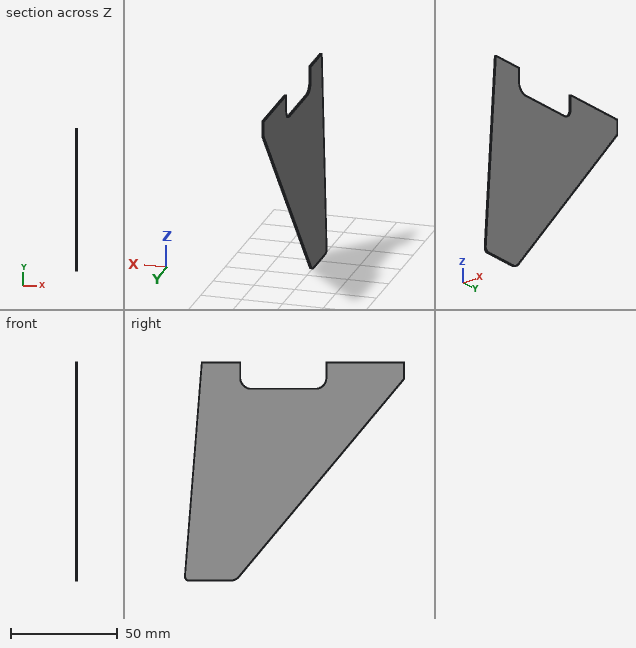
import cadquery as cq
import math

thickness = 0.8
length = 102.9
height = 102.4

nose_height = 7.7
top_edge_start = 7.9
bottom_edge_end = 23.9
steep_corner_radius = 2.1
diagonal_corner_radius = 5.1

arc_to_top_y = top_edge_start - steep_corner_radius
arc_to_top_z = height - steep_corner_radius
steep_edge_tilt = math.atan2(arc_to_top_y, arc_to_top_z) + math.asin(
    steep_corner_radius / math.hypot(arc_to_top_y, arc_to_top_z)
)
bottom_edge_start = top_edge_start - height * math.tan(steep_edge_tilt)

notch_start = 26.0
notch_end = 66.4
notch_depth = 12.4
notch_radius = 5.1


def make_plate():
    """Tapered plate with its two lower corners rounded."""
    outline = [
        (bottom_edge_start, 0),
        (bottom_edge_end, 0),
        (length, height - nose_height),
        (length, height),
        (top_edge_start, height),
    ]
    plate = cq.Workplane("YZ").polyline(outline).close().extrude(thickness / 2, both=True)
    plate = plate.edges("|X").edges(
        cq.selectors.NearestToPointSelector((0, bottom_edge_start, 0))
    ).fillet(steep_corner_radius)
    return plate.edges("|X").edges(
        cq.selectors.NearestToPointSelector((0, bottom_edge_end, 0))
    ).fillet(diagonal_corner_radius)


def make_notch():
    """Open-topped cutter with rounded floor corners."""
    notch_width = notch_end - notch_start
    return (
        cq.Workplane("XY")
        .box(2 * thickness, notch_width, notch_depth, centered=(True, False, False))
        .edges("|X and <Z")
        .fillet(notch_radius)
        .translate((0, notch_start, height - notch_depth))
    )


result = make_plate().cut(make_notch())